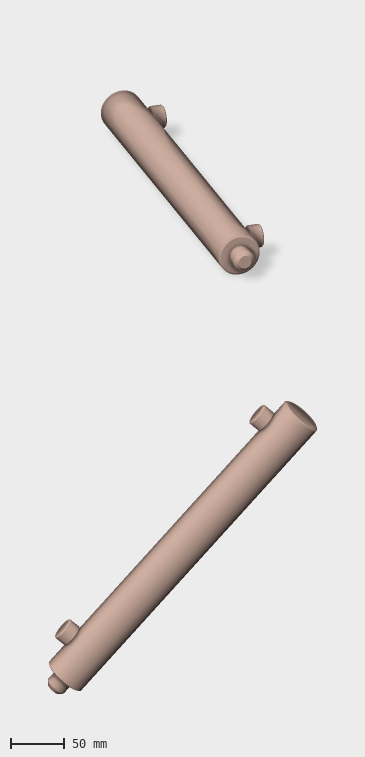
import cadquery as cq

overall_length = 355.0
body_diameter = 40.0
body_radius = body_diameter / 2
overall_depth = 53.0
rod_projection = 16.0
body_length = overall_length - rod_projection

cap_length = 10.0
gland_length = 9.0
cap_chamfer_length = 1.5
cap_chamfer_depth = 2.0
gland_chamfer_length = 1.0
gland_chamfer_depth = 1.8

barrel_end = body_length - gland_length

rod_radius = 10.0
rod_tip_length = 4.0
rod_tip_end_radius = 6.5

port_radius = 11.0
port_chamfer = 1.0
port_outer_y = overall_depth - body_radius
port_inner_y = body_radius
first_port_x = 26.5
second_port_x = 304.0


def revolve_about_x(points):
    """Solid of revolution from an (x, radius) profile."""
    return cq.Workplane("XY").polyline(points).close().revolve(360, (0, 0, 0), (1, 0, 0))


def make_cap():
    """Solid end disc with a chamfered outer rim."""
    return revolve_about_x([
        (0, 0),
        (0, body_radius - cap_chamfer_depth),
        (cap_chamfer_length, body_radius),
        (cap_length, body_radius),
        (cap_length, 0),
    ])


def make_gland():
    """Ring at the rod end, with a chamfered outer rim and a hole for the rod."""
    return revolve_about_x([
        (barrel_end, rod_radius),
        (barrel_end, body_radius),
        (body_length - gland_chamfer_length, body_radius),
        (body_length, body_radius - gland_chamfer_depth),
        (body_length, rod_radius),
    ])


def make_barrel():
    """Round barrel between cap and gland."""
    return cq.Workplane("YZ", origin=(cap_length, 0, 0)).circle(body_radius).extrude(barrel_end - cap_length)


def make_rod():
    """Rod end, seated through the gland against the barrel, with a tapered tip."""
    return revolve_about_x([
        (barrel_end, 0),
        (barrel_end, rod_radius),
        (overall_length - rod_tip_length, rod_radius),
        (overall_length, rod_tip_end_radius),
        (overall_length, 0),
    ])


def make_port(x):
    """Round boss with chamfered rims, whose flat inner face rests on the barrel."""
    return (
        cq.Workplane("XZ", origin=(x, port_outer_y, 0))
        .circle(port_radius)
        .extrude(port_outer_y - port_inner_y)
        .faces("<Y or >Y")
        .edges()
        .chamfer(port_chamfer)
    )


cap = make_cap()
gland = make_gland()
barrel = make_barrel()
rod = make_rod()
ports = [make_port(x).val() for x in (first_port_x, second_port_x)]

result = cq.Compound.makeCompound([cap.val(), gland.val(), barrel.val(), rod.val(), *ports])